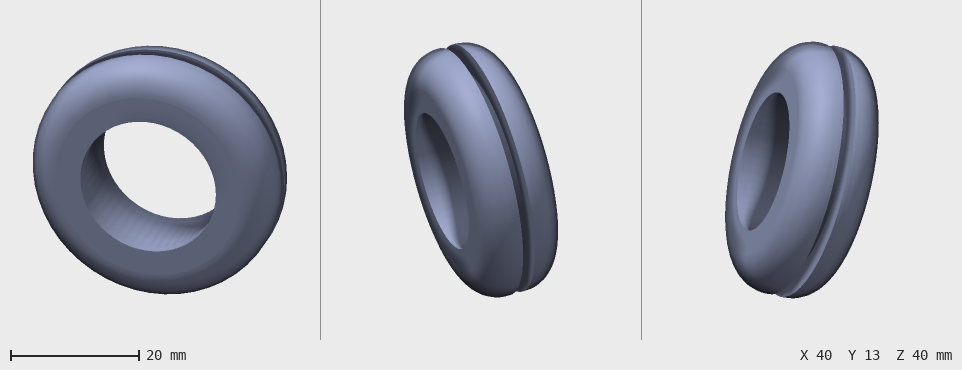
import cadquery as cq

outer_diameter = 40.0
bore_diameter = 22.0
groove_diameter = 32.0
total_width = 13.0
groove_width = 2.0
edge_radius = 5.0


def cylinder(diameter, width):
    """Solid cylinder along Y, centred on the origin."""
    return cq.Workplane("XZ", origin=(0, width / 2, 0)).circle(diameter / 2).extrude(width)


body = cylinder(outer_diameter, total_width).edges("%CIRCLE").fillet(edge_radius)

groove = cylinder(outer_diameter, groove_width).cut(cylinder(groove_diameter, groove_width))

bore = cylinder(bore_diameter, total_width)

result = body.cut(groove).cut(bore)